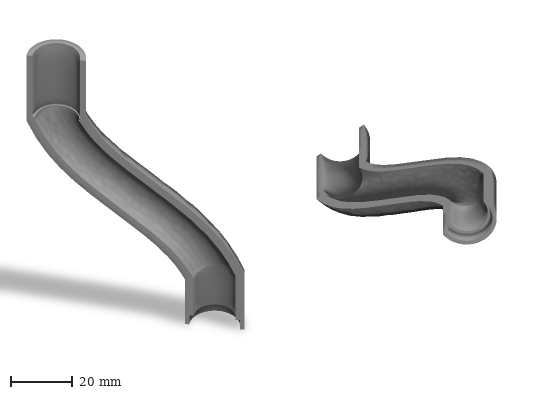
import cadquery as cq
import math

total_height = 105.9
outer_radius = 9.79
bore_radius = 6.9
axis_offset = 52.2
plane_angle = 40.0

upper_bend_height = 80.6
lower_bend_height = 20.8
bend_end_angle = 23.0
bend_middle_angle = 50.0

upper_bore_radius = 7.8
socket_radius = 8.42
socket_depth = 3.8

angle = math.radians(plane_angle)
split_plane = cq.Plane(
    origin=(0, 0, 0),
    xDir=(math.cos(angle), math.sin(angle), 0),
    normal=(math.sin(angle), -math.cos(angle), 0),
)


def downward_direction(degrees_from_vertical):
    tilt = math.radians(degrees_from_vertical)
    return (math.sin(tilt), -math.cos(tilt))


def tube_axis():
    """Straight, S-curve, straight; the kinks at the joints become mitres."""
    upper_joint = (0, upper_bend_height)
    lower_joint = (axis_offset, lower_bend_height)
    middle = (axis_offset / 2, (upper_bend_height + lower_bend_height) / 2)
    end_direction = downward_direction(bend_end_angle)
    middle_direction = downward_direction(bend_middle_angle)
    return (
        cq.Workplane(split_plane)
        .moveTo(0, total_height)
        .lineTo(*upper_joint)
        .spline(
            [upper_joint, middle, lower_joint],
            tangents=[end_direction, middle_direction, end_direction],
        )
        .lineTo(axis_offset, 0)
    )


def bent_rod(radius):
    profile = cq.Workplane("XY").workplane(offset=total_height).circle(radius)
    return profile.sweep(tube_axis(), transition="right")


def upper_bore():
    depth = total_height - upper_bend_height
    return cq.Workplane("XY").workplane(offset=upper_bend_height).circle(upper_bore_radius).extrude(depth)


def lower_socket():
    center = split_plane.toWorldCoords((axis_offset, 0))
    return cq.Workplane("XY").center(center.x, center.y).circle(socket_radius).extrude(socket_depth)


def space_behind_split():
    """Block covering everything on the kept side of the split plane."""
    width = axis_offset + 4 * outer_radius
    depth = 2 * outer_radius
    return (
        cq.Workplane(split_plane)
        .center(axis_offset / 2, total_height / 2)
        .rect(width, 2 * total_height)
        .extrude(-depth)
    )


tube = bent_rod(outer_radius).cut(bent_rod(bore_radius))
tube = tube.cut(upper_bore()).cut(lower_socket())
result = tube.intersect(space_behind_split())